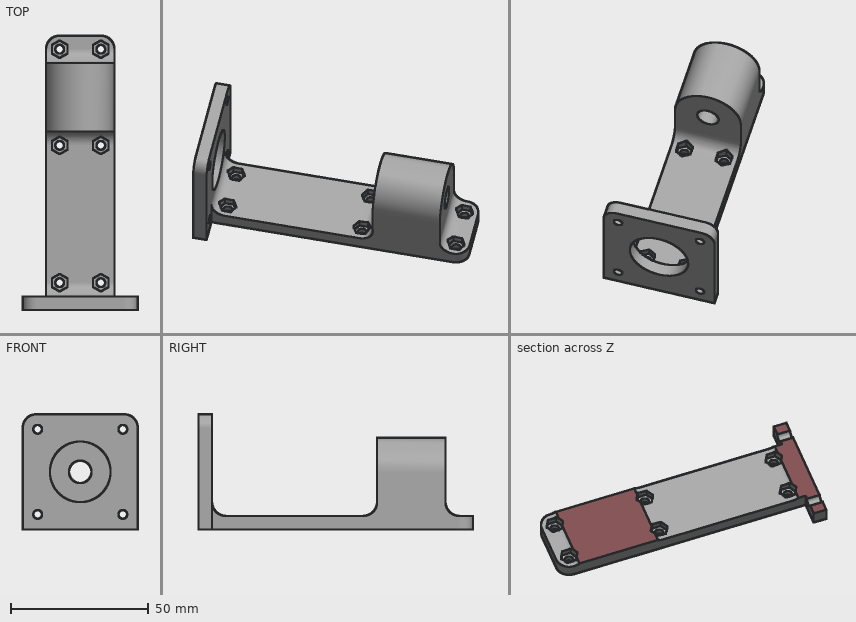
import cadquery as cq

length = 100.0
thickness = 5.0
round_radius = 5.0

plate_side = 42.0
axis_height = plate_side / 2
pilot_diameter = 22.1
motor_screw_spacing = 31.0

strip_width = 25.0
block_start = 65.0
block_length = 25.0
block_end = block_start + block_length
shaft_diameter = 8.1

screw_diameter = 3.1
screw_spacing = 15.0
screw_rows = (
    thickness + round_radius,
    block_start - round_radius,
    block_end + round_radius,
)
nut_across_corners = 6.4
nut_floor = 2.5


def along_y(start):
    """Sketch plane facing +Y, with local x along -X and local y along +Z."""
    return cq.Workplane("XZ", origin=(0, start, 0)).transformed(rotate=(0, 180, 0))


def motor_plate():
    plate = cq.Workplane("XY").box(plate_side, thickness, plate_side, centered=(True, False, False))
    return plate.edges("|Y and >Z").fillet(round_radius)


def base_strip():
    strip = cq.Workplane("XY").box(strip_width, length, thickness, centered=(True, False, False))
    return strip.edges("|Z and >Y").fillet(round_radius)


def bearing_block():
    post = cq.Workplane("XY", origin=(0, block_start, 0)).box(
        strip_width, block_length, axis_height, centered=(True, False, False)
    )
    barrel = along_y(block_start).center(0, axis_height).circle(strip_width / 2).extrude(block_length)
    return post.union(barrel)


def corner_fillet(wall, direction):
    """Concave fillet between the strip and a wall at Y = wall; direction is +1 or -1 along Y."""
    far = wall + direction * round_radius
    top = thickness + round_radius
    return (
        cq.Workplane("YZ", origin=(-strip_width / 2, 0, 0))
        .moveTo(wall, thickness)
        .lineTo(far, thickness)
        .radiusArc((wall, top), direction * round_radius)
        .close()
        .extrude(strip_width)
    )


body = motor_plate().union(base_strip()).union(bearing_block())
for wall, direction in ((thickness, 1), (block_start, -1), (block_end, 1)):
    body = body.union(corner_fillet(wall, direction))

body = body.cut(along_y(0).center(0, axis_height).circle(pilot_diameter / 2).extrude(thickness))
body = body.cut(
    along_y(0)
    .center(0, axis_height)
    .rect(motor_screw_spacing, motor_screw_spacing, forConstruction=True)
    .vertices()
    .circle(screw_diameter / 2)
    .extrude(thickness)
)
body = body.cut(along_y(block_start).center(0, axis_height).circle(shaft_diameter / 2).extrude(block_length))

screw_points = [(x, y) for y in screw_rows for x in (-screw_spacing / 2, screw_spacing / 2)]
body = body.cut(cq.Workplane("XY").pushPoints(screw_points).circle(screw_diameter / 2).extrude(thickness))
nut_pockets = (
    cq.Workplane("XY", origin=(0, 0, nut_floor))
    .transformed(rotate=(0, 0, 90))
    .pushPoints([(y, -x) for x, y in screw_points])
    .polygon(6, nut_across_corners)
    .extrude(thickness + round_radius - nut_floor)
)
result = body.cut(nut_pockets)